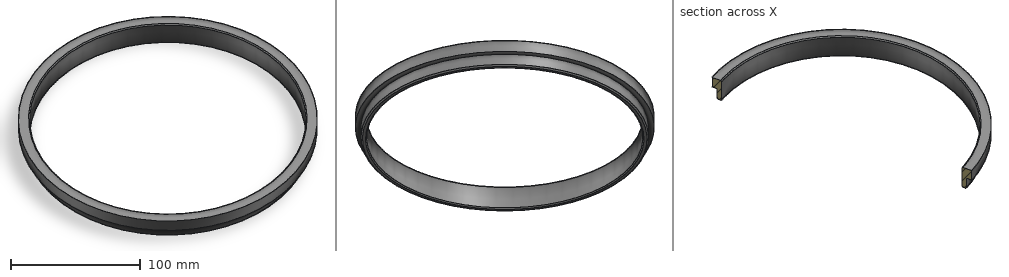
import cadquery as cq

flange_diameter = 230.2
spigot_diameter = 221.5
bore_diameter = 212.7
total_height = 20.0
flange_height = 10.0
spigot_chamfer = 1.2
bore_chamfer = 1.0

spigot_height = total_height - flange_height

spigot = (
    cq.Workplane("XY")
    .circle(spigot_diameter / 2)
    .extrude(spigot_height)
    .faces("<Z")
    .chamfer(spigot_chamfer)
)

flange = (
    cq.Workplane("XY")
    .workplane(offset=spigot_height)
    .circle(flange_diameter / 2)
    .extrude(flange_height)
)

ring = spigot.union(flange).faces(">Z").workplane().hole(bore_diameter)
bore_mouths = cq.selectors.RadiusNthSelector(0)
result = ring.faces("<Z or >Z").edges(bore_mouths).chamfer(bore_chamfer)